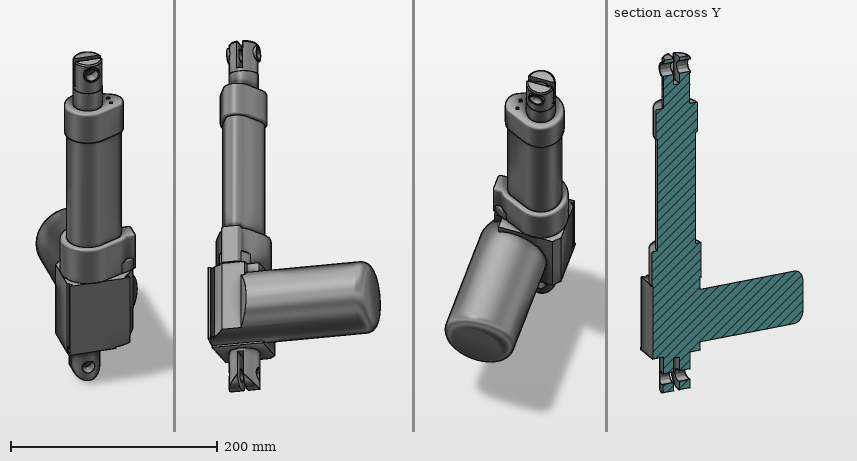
import cadquery as cq
import math


total_height = 353.0
box_bottom = 38.0
box_top = 115.5
collar_top = 152.5
cap_bottom = 269.7
cap_top = 302.0
rod_joint = 321.5

tube_radius = 41.3 / 2
tube_rear_radius = 11.5
rear_offset = 22.0
cap_wall = 2.0
collar_radius = 27.0
collar_wall = collar_radius - tube_radius
edge_round = 2.0

box_half_width = 25.8
box_front = -collar_radius
box_rear = 35.0
box_rear_low = 21.0
box_corner_chamfer = 6.7
gusset_rear = 43.0
gusset_side = -13.5
gusset_tip = 9.2
gusset_base = 19.8

step_bottom = 40.2
step_depth = 1.0
groove_bottom = 44.0
groove_side = 19.0
groove_wall = 23.3
groove_depth = 4.2

motor_radius = 35.0
motor_end = -136.5
motor_y = box_rear_low
motor_z = 75.0
motor_fillet = 10.0
motor_bevel_start = -18.7
motor_bevel_length = 9.0
motor_bevel_depth = 12.5

tab_half_width = 10.0
tab_rear = 46.2
tab_corner_radius = 3.2
tab_root_radius = 1.8

ear_top = 127.5
ear_front = 30.0
ear_half_width = 16.0
ear_mid_y = 38.0
ear_mid_half_width = 13.5
ear_rear = 44.0
ear_rear_half_width = 9.2
ear_rim = 2.0

screw_diameter = 3.25
screw_depth = 7.0
screw_x = 9.5 / 2
screw_y = 22.2

rod_diameter = 28.5
fork_diameter = 28.2
fork_chamfer = 1.5
fork_pin_z = 342.5
slot_width = 6.0
fork_slot_bottom = 325.0
pin_diameter = 12.7
bush_diameter = 16.0
bush_length = 30.0
foot_diameter = 30.0
foot_y = -3.2
foot_slot_top = 35.0


def block(x_min, x_max, y_min, y_max, z_min, z_max):
    """Axis-aligned block between the given limits."""
    size = (x_max - x_min, y_max - y_min, z_max - z_min)
    return cq.Workplane("XY").box(*size, centered=False).translate((x_min, y_min, z_min))


def x_cylinder(diameter, length, y, z):
    """Cylinder along X, centred on X = 0."""
    return cq.Workplane("YZ").center(y, z).circle(diameter / 2).extrude(length / 2, both=True)


def teardrop(wall, z_min, z_max):
    """Large front round and small rear round joined by their tangent lines."""
    front_radius = tube_radius + wall
    rear_radius = tube_rear_radius + wall
    sine = (front_radius - rear_radius) / rear_offset
    cosine = math.sqrt(1 - sine**2)
    front_x, front_y = front_radius * cosine, front_radius * sine
    rear_x, rear_y = rear_radius * cosine, rear_offset + rear_radius * sine
    return (
        cq.Workplane("XY", origin=(0, 0, z_min))
        .moveTo(-front_x, front_y)
        .threePointArc((0, -front_radius), (front_x, front_y))
        .lineTo(rear_x, rear_y)
        .threePointArc((0, rear_offset + rear_radius), (-rear_x, rear_y))
        .close()
        .extrude(z_max - z_min)
    )


def gearbox():
    """Box with a gusset at the rear; its lower rear part follows the motor round."""
    outline = [
        (box_half_width, box_front),
        (box_half_width, box_rear),
        (gusset_base, box_rear),
        (gusset_tip, gusset_rear),
        (gusset_side, gusset_rear),
        (gusset_side, box_rear),
        (-box_half_width, box_rear),
        (-box_half_width, box_front + box_corner_chamfer),
        (-box_half_width + box_corner_chamfer, box_front),
    ]
    body = (
        cq.Workplane("XY", origin=(0, 0, box_bottom))
        .polyline(outline)
        .close()
        .extrude(box_top - box_bottom)
    )
    width = box_half_width
    front_part = block(-width, width, box_front, box_rear_low, box_bottom, box_top)
    upper_part = block(-width, width, box_front, gusset_rear, motor_z, box_top)
    motor_round = x_cylinder(2 * motor_radius, 2 * width, motor_y, motor_z)
    body = body.intersect(front_part.union(upper_part).union(motor_round))
    return body.cut(corner_groove(box_front, 1)).cut(corner_groove(box_rear, -1)).cut(corner_steps())


def corner_groove(face_y, inward):
    """V groove along a +X corner; inward is the Y direction into the box."""
    return (
        cq.Workplane("XY", origin=(0, 0, groove_bottom))
        .moveTo(groove_side, face_y)
        .lineTo(groove_wall, face_y + inward * groove_depth)
        .lineTo(groove_wall, face_y)
        .close()
        .extrude(box_top - groove_bottom)
    )


def corner_steps():
    """Shallow L-shaped step around the front groove: below it and on its outer side."""
    floor_y = box_front + step_depth
    below = block(groove_side, box_half_width, box_front, floor_y, step_bottom, groove_bottom)
    beside = block(groove_wall, box_half_width, box_front, floor_y, groove_bottom, box_top)
    return below.union(beside)


def motor():
    """Cylinder along X with a rounded outer end and a vertical bevel on its inner end."""
    inner_end = motor_bevel_start + motor_bevel_length
    body = (
        cq.Workplane("YZ", origin=(motor_end, motor_y, motor_z))
        .circle(motor_radius)
        .extrude(inner_end - motor_end)
    )
    body = body.faces("<X").edges().fillet(motor_fillet)
    rear = motor_y + motor_radius
    bevel = (
        cq.Workplane("XY", origin=(0, 0, motor_z))
        .moveTo(motor_bevel_start, rear)
        .lineTo(inner_end, rear - motor_bevel_depth)
        .lineTo(inner_end, rear)
        .close()
        .extrude(motor_radius, both=True)
    )
    return body.cut(bevel)


def collar():
    """Lower collar with the rear tab, rounded together along the top rim."""
    body = teardrop(collar_wall, box_top, collar_top)
    tab = block(-tab_half_width, tab_half_width, rear_offset, tab_rear, box_top, collar_top)
    tab = tab.edges("|Z and >Y").fillet(tab_corner_radius)
    body = body.union(tab)
    rear_radius = tube_rear_radius + collar_wall
    root_y = rear_offset + math.sqrt(rear_radius**2 - tab_half_width**2)
    for root_x in (-tab_half_width, tab_half_width):
        root = cq.selectors.NearestToPointSelector((root_x, root_y, (box_top + collar_top) / 2))
        body = body.edges(root).fillet(tab_root_radius)
    return body.faces(">Z").edges().fillet(edge_round)


def ears():
    """Low ears on both sides of the tab, with a rounded top rim."""
    body = (
        cq.Workplane("XY", origin=(0, 0, box_top))
        .moveTo(-ear_half_width, ear_front)
        .threePointArc((-ear_mid_half_width, ear_mid_y), (-ear_rear_half_width, ear_rear))
        .lineTo(ear_rear_half_width, ear_rear)
        .threePointArc((ear_mid_half_width, ear_mid_y), (ear_half_width, ear_front))
        .close()
        .extrude(ear_top - box_top)
    )
    return body.faces(">Z").edges().fillet(ear_rim)


def cap():
    """Upper cap with rounded rims and two screw holes in its top."""
    body = teardrop(cap_wall, cap_bottom, cap_top)
    body = body.faces("<Z or >Z").edges().fillet(edge_round)
    holes = (
        cq.Workplane("XY", origin=(0, 0, cap_top - screw_depth))
        .pushPoints([(-screw_x, screw_y), (screw_x, screw_y)])
        .circle(screw_diameter / 2)
        .extrude(screw_depth)
    )
    return body.cut(holes)


def slot(y, z_min, z_max):
    """Clevis slot running along Y."""
    reach = foot_diameter
    return block(-slot_width / 2, slot_width / 2, y - reach, y + reach, z_min, z_max)


def rod_fork():
    """Rod leaving the cap, ending in a slotted fork with a bushed pin hole."""
    rod = cq.Workplane("XY", origin=(0, 0, cap_top)).circle(rod_diameter / 2).extrude(rod_joint - cap_top)
    fork = (
        cq.Workplane("XY", origin=(0, 0, rod_joint))
        .circle(fork_diameter / 2)
        .extrude(total_height - rod_joint)
        .faces(">Z")
        .edges()
        .chamfer(fork_chamfer)
    )
    fork = fork.union(x_cylinder(bush_diameter, bush_length, 0, fork_pin_z))
    fork = fork.cut(x_cylinder(pin_diameter, 2 * bush_length, 0, fork_pin_z))
    fork = fork.cut(slot(0, fork_slot_bottom, total_height))
    return rod.union(fork)


def foot():
    """Lower clevis: round bar with a rounded end about its pin hole, slotted."""
    radius = foot_diameter / 2
    bar = cq.Workplane("XY").center(0, foot_y).circle(radius).extrude(box_bottom)
    rounded = x_cylinder(foot_diameter, foot_diameter, foot_y, radius)
    straight = block(-radius, radius, foot_y - radius, foot_y + radius, radius, box_bottom)
    bar = bar.intersect(rounded.union(straight))
    bar = bar.cut(x_cylinder(pin_diameter, 2 * foot_diameter, foot_y, radius))
    return bar.cut(slot(foot_y, 0, foot_slot_top))


result = (
    gearbox()
    .union(motor())
    .union(collar())
    .union(ears())
    .union(teardrop(0, collar_top, cap_bottom))
    .union(cap())
    .union(rod_fork())
    .union(foot())
)